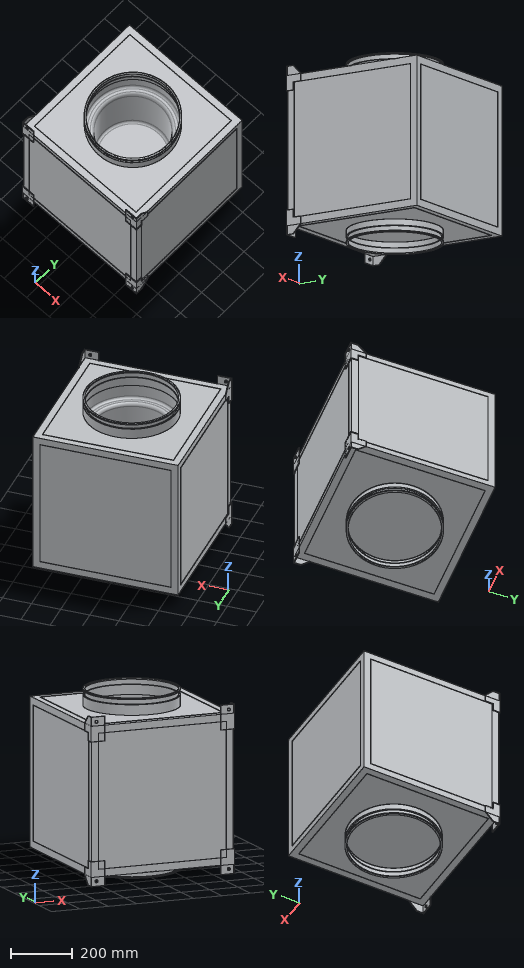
import cadquery as cq
import math

box_size = 500.0
frame_width = 25.0
panel_recess = 1.0

total_height = 595.0
top_collar_height = 55.0
bottom_collar_height = total_height - box_size - top_collar_height
collar_radius = 157.5
neck_radius = 152.5
neck_height = 20.0
flange_thickness = 4.0
collar_wall = 1.0

cup_depth = 50.0
throat_radius = 126.0
bend_inner_radius = 9.0
bend_outer_radius = 11.5
throat_floor_depth = box_size / 2

plate_thickness = 3.0
plate_width = 49.0
plate_length = 82.0
plate_overhang = 30.5
leg_width = 55.0
leg_tip_width = 25.5
hole_diameter = 9.5
hole_side_inset = 19.5
hole_end_inset = 16.5

half_box = box_size / 2
box_top = total_height / 2 - top_collar_height
box_bottom = box_top - box_size
box_middle = (box_top + box_bottom) / 2
collar_bore_radius = collar_radius - collar_wall
neck_bore_radius = neck_radius - collar_wall


def revolve_about_z(profile):
    return profile.close().revolve(360, (0, 0), (0, 1))


def make_housing():
    panel_size = box_size - 2 * frame_width
    housing = cq.Workplane("XY").box(box_size, box_size, box_size)
    for side in ("<X", ">X", "<Y", ">Y", "<Z", ">Z"):
        face_plane = housing.faces(side).workplane(centerOption="CenterOfBoundBox")
        housing = face_plane.rect(panel_size, panel_size).cutBlind(-panel_recess)
    return housing.translate((0, 0, box_middle))


def make_collar(height):
    """Solid collar standing on Z = 0, sunk to the panel, with a groove below its end flange."""
    shoulder = height - neck_height
    flange = height - flange_thickness
    outline = [
        (0, -panel_recess),
        (collar_radius, -panel_recess),
        (collar_radius, shoulder),
        (neck_radius, shoulder),
        (neck_radius, flange),
        (collar_radius, flange),
        (collar_radius, height),
        (0, height),
    ]
    return revolve_about_z(cq.Workplane("XZ").polyline(outline))


def collar_bore_profile(height):
    """Stepped bore outline from the open end of a collar down to its wide wall."""
    shoulder = height - neck_height - collar_wall
    return (
        cq.Workplane("XZ")
        .moveTo(0, height)
        .lineTo(neck_bore_radius, height)
        .lineTo(neck_bore_radius, shoulder)
        .lineTo(collar_bore_radius, shoulder)
    )


def make_inlet():
    """Void of the top collar and the rounded inlet inside the housing."""
    arc_middle = math.sqrt(0.5)
    inner = bend_inner_radius
    outer = bend_outer_radius
    cove_centre = (collar_bore_radius - inner, inner - cup_depth)
    roll_centre = (throat_radius + outer, -cup_depth - outer)
    floor_centre = (throat_radius - inner, inner - throat_floor_depth)

    def middle_of_bend(centre, radius, x_sign, z_sign):
        return (centre[0] + x_sign * radius * arc_middle, centre[1] + z_sign * radius * arc_middle)

    profile = (
        collar_bore_profile(top_collar_height)
        .lineTo(collar_bore_radius, cove_centre[1])
        .threePointArc(middle_of_bend(cove_centre, inner, 1, -1), (cove_centre[0], -cup_depth))
        .lineTo(roll_centre[0], -cup_depth)
        .threePointArc(middle_of_bend(roll_centre, outer, -1, 1), (throat_radius, roll_centre[1]))
        .lineTo(throat_radius, floor_centre[1])
        .threePointArc(middle_of_bend(floor_centre, inner, 1, -1), (floor_centre[0], -throat_floor_depth))
        .lineTo(0, -throat_floor_depth)
    )
    return revolve_about_z(profile)


def make_outlet():
    """Void of the bottom collar, flat-floored at the housing panel."""
    profile = (
        collar_bore_profile(bottom_collar_height)
        .lineTo(collar_bore_radius, -panel_recess)
        .lineTo(0, -panel_recess)
    )
    return revolve_about_z(profile)


def make_bracket():
    """Upper bracket on the -X side: a drilled front plate and a tapered side leg."""
    outer_x = -half_box - plate_thickness
    outer_y = -half_box - plate_thickness
    plate_top = box_top + plate_overhang
    plate_bottom = plate_top - plate_length
    tip_y = outer_y + leg_tip_width
    leg_y = outer_y + leg_width
    step_z = box_top - frame_width

    plate = (
        cq.Workplane("XY", origin=(outer_x, outer_y, plate_bottom))
        .box(plate_width, plate_thickness, plate_length, centered=False)
    )
    leg_outline = [
        (outer_y, plate_top),
        (tip_y, plate_top),
        (leg_y, box_top),
        (leg_y, step_z),
        (tip_y, step_z),
        (tip_y, plate_bottom),
        (outer_y, plate_bottom),
    ]
    leg = cq.Workplane("YZ", origin=(outer_x, 0, 0)).polyline(leg_outline).close().extrude(plate_thickness)
    hole = (
        cq.Workplane("XZ", origin=(outer_x + hole_side_inset, outer_y, plate_top - hole_end_inset))
        .circle(hole_diameter / 2)
        .extrude(-plate_thickness)
    )
    return plate.union(leg).cut(hole)


def at_top(shape):
    return shape.translate((0, 0, box_top))


def at_bottom(shape):
    return shape.mirror("XY").translate((0, 0, box_bottom))


result = (
    make_housing()
    .union(at_top(make_collar(top_collar_height)))
    .union(at_bottom(make_collar(bottom_collar_height)))
    .cut(at_top(make_inlet()))
    .cut(at_bottom(make_outlet()))
)

left_bracket = make_bracket()
for upper_bracket in (left_bracket, left_bracket.mirror("YZ")):
    lower_bracket = upper_bracket.mirror("XY", (0, 0, box_middle))
    result = result.union(upper_bracket).union(lower_bracket)